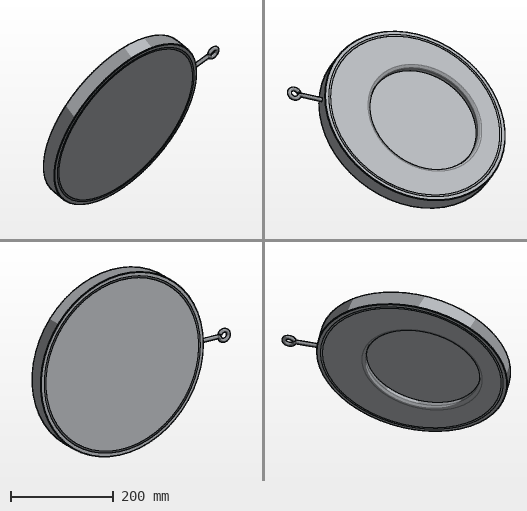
import cadquery as cq
import math

body_dia = 380.0
overall_width = 34.0
body_width = 32.5
rim_chamfer = 1.5

seal_wire_dia = 7.0
seal_ring_radius = 180.0

recess_dia = 227.0
recess_depth = 14.0
recess_edge_radius = 6.5
recess_offset_y = -20.5

overall_length = 452.0
wire_dia = 8.0
eye_outer_dia = 29.0
elbow_radius = 5.0
eye_gap_angle = math.radians(24)
shank_embed = 9.0

body_radius = body_dia / 2
eye_radius = (eye_outer_dia - wire_dia) / 2
eye_centre_y = overall_length - body_radius - eye_outer_dia / 2


def make_body():
    """Chamfered disc with a round seal ring partly sunk into each flat face."""
    body = (
        cq.Workplane("YZ")
        .circle(body_radius)
        .extrude(body_width / 2, both=True)
        .edges()
        .chamfer(rim_chamfer)
    )
    seal_x = (overall_width - seal_wire_dia) / 2
    for side in (-1, 1):
        seal_ring = (
            cq.Workplane("XY")
            .center(side * seal_x, seal_ring_radius)
            .circle(seal_wire_dia / 2)
            .revolve(360, (0, -seal_ring_radius), (1, -seal_ring_radius))
        )
        body = body.union(seal_ring)
    return body


def make_recess_cutter():
    """Round plug, flared at the -X face to leave a rounded mouth."""
    face_x = -body_width / 2
    bore_radius = recess_dia / 2
    mouth_radius = bore_radius + recess_edge_radius
    arc_drop = recess_edge_radius * (1 - math.sqrt(0.5))
    return (
        cq.Workplane("XY", origin=(0, recess_offset_y, 0))
        .moveTo(face_x, 0)
        .lineTo(face_x, mouth_radius)
        .threePointArc(
            (face_x + arc_drop, bore_radius + arc_drop),
            (face_x + recess_edge_radius, bore_radius),
        )
        .lineTo(face_x + recess_depth, bore_radius)
        .lineTo(face_x + recess_depth, 0)
        .close()
        .revolve(360, (0, 0), (1, 0))
    )


def eye_point(angle):
    """Point on the eye centreline, angle measured from -Y towards +Z."""
    return (eye_centre_y - eye_radius * math.cos(angle), eye_radius * math.sin(angle))


def make_eye_bolt():
    """Straight shank bent through a tight elbow into an open ring."""
    start_angle = -math.asin(elbow_radius / (eye_radius + elbow_radius))
    end_angle = eye_gap_angle - 2 * math.pi
    elbow_y = eye_centre_y - (eye_radius + elbow_radius) * math.cos(start_angle)
    half_turn = (math.pi / 2 + start_angle) / 2
    elbow_middle = (
        elbow_y + elbow_radius * math.sin(half_turn),
        elbow_radius * math.cos(half_turn) - elbow_radius,
    )
    shank_start = body_radius - shank_embed
    path = (
        cq.Workplane("YZ")
        .moveTo(shank_start, 0)
        .lineTo(elbow_y, 0)
        .threePointArc(elbow_middle, eye_point(start_angle))
        .threePointArc(eye_point((start_angle + end_angle) / 2), eye_point(end_angle))
    )
    section = cq.Workplane("XZ", origin=(0, shank_start, 0)).circle(wire_dia / 2)
    return section.sweep(path)


result = make_body().cut(make_recess_cutter()).union(make_eye_bolt())